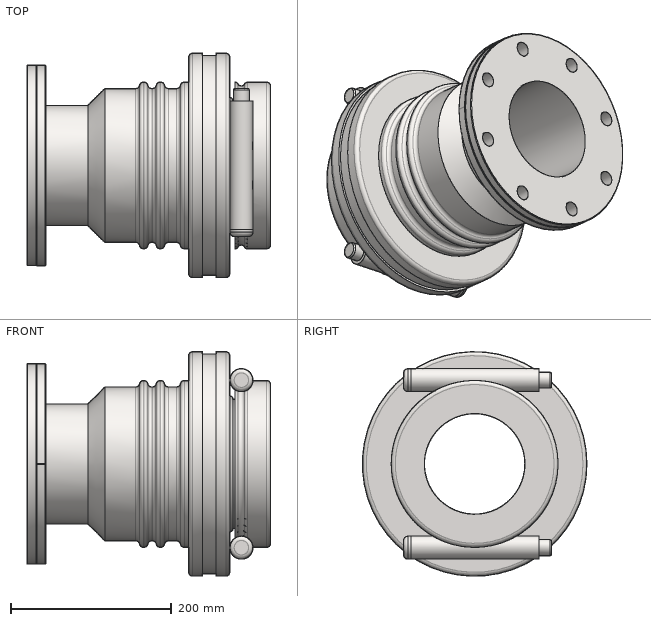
import cadquery as cq
import math


total_length = 304.0
bore_diameter = 125.0

flange_diameter = 250.0
flange_thickness = 24.0
flange_edge_chamfer = 1.0
rim_groove_width = 1.0
rim_groove_depth = 1.0
rim_slit_width = 1.0
bolt_count = 8
bolt_hole_diameter = 18.0
bolt_circle_diameter = 210.0

neck_diameter = 150.0
cone_start = 76.0
cone_end = 97.2
body_diameter = 192.0

rib_diameter = 208.0
rib_half_width = 9.8
rib_crest_width = 0.6
first_rib_start = 135.6
rib_gap = 0.6
end_rib_start = 186.5

coupling_diameter = 280.0
coupling_start = 201.7
coupling_width = 51.3
coupling_edge_radius = 5.0
coupling_groove_diameter = 274.4
coupling_groove_width = 17.0

waist_diameter = 161.6
shoulder_radius = 4.0

sleeve_start = 259.3
sleeve_diameter = 208.0
sleeve_edge_radius = 5.0
pin_groove_half_width = 8.0
pin_groove_depth = 4.7

pin_diameter = 28.6
pin_flange_gap = 0.2
pin_x = coupling_start + coupling_width + pin_diameter / 2 + pin_flange_gap
pin_z = 104.4
pin_head_end = -88.6
pin_shoulder = 80.5
pin_head_face_diameter = 18.0
pin_collar_diameter = 28.8
pin_collar_start = -83.0
pin_collar_end = -79.6
pin_tip_diameter = 20.16
pin_tip_face_diameter = 18.0
pin_tip_end = 96.0
pin_tip_chamfer_length = 2.1
pin_tip_chamfer_depth = (pin_tip_diameter - pin_tip_face_diameter) / 2

cutter_margin = 1.0

coupling_end = coupling_start + coupling_width
bore_radius = bore_diameter / 2
sleeve_radius = sleeve_diameter / 2
rib_radius = rib_diameter / 2
body_radius = body_diameter / 2


def s_curve(sketch, start, end):
    """Join two points by two equal tangent arcs that start and finish parallel to X."""
    run = end[0] - start[0]
    rise = end[1] - start[1]
    half_angle = math.atan2(abs(rise), run)
    arc_radius = run / 2 / math.sin(2 * half_angle)
    mid_run = arc_radius * math.sin(half_angle)
    mid_rise = math.copysign(arc_radius * (1 - math.cos(half_angle)), rise)
    centre = (start[0] + run / 2, start[1] + rise / 2)
    sketch = sketch.threePointArc((start[0] + mid_run, start[1] + mid_rise), centre)
    return sketch.threePointArc((end[0] - mid_run, end[1] - mid_rise), end)


def revolve_about_x(sketch):
    return sketch.close().revolve(360, (0, 0, 0), (1, 0, 0))


def x_cylinder(start, length, diameter):
    return cq.Workplane("YZ").workplane(offset=start).circle(diameter / 2).extrude(length)


def ring_cutter(centre_x, width, inner_diameter, outer_diameter):
    start = centre_x - width / 2
    return x_cylinder(start, width, outer_diameter).cut(x_cylinder(start, width, inner_diameter))


def bolted_flange():
    flange = x_cylinder(0, flange_thickness, flange_diameter).edges().chamfer(flange_edge_chamfer)
    groove_floor = flange_diameter - 2 * rim_groove_depth
    flange = flange.cut(
        ring_cutter(flange_thickness / 2, rim_groove_width, groove_floor, flange_diameter + cutter_margin)
    )
    slit = cq.Workplane("XY").box(
        flange_thickness / 2, 2 * rim_groove_depth, rim_slit_width, centered=(False, True, True)
    )
    flange = flange.cut(slit.translate((flange_thickness / 2, -flange_diameter / 2, 0)))
    holes = (
        cq.Workplane("YZ")
        .polarArray(bolt_circle_diameter / 2, 180 / bolt_count, 360, bolt_count)
        .circle(bolt_hole_diameter / 2)
        .extrude(flange_thickness)
    )
    return flange.cut(holes)


def ribbed_body():
    sketch = (
        cq.Workplane("XY")
        .moveTo(flange_thickness, bore_radius)
        .lineTo(flange_thickness, neck_diameter / 2)
        .lineTo(cone_start, neck_diameter / 2)
        .lineTo(cone_end, body_radius)
    )
    rib_pitch = 2 * rib_half_width + rib_crest_width + rib_gap
    for rib_start in (first_rib_start, first_rib_start + rib_pitch):
        crest_start = rib_start + rib_half_width
        crest_end = crest_start + rib_crest_width
        sketch = sketch.lineTo(rib_start, body_radius)
        sketch = s_curve(sketch, (rib_start, body_radius), (crest_start, rib_radius))
        sketch = sketch.lineTo(crest_end, rib_radius)
        sketch = s_curve(sketch, (crest_end, rib_radius), (crest_end + rib_half_width, body_radius))
    sketch = sketch.lineTo(end_rib_start, body_radius)
    sketch = s_curve(
        sketch, (end_rib_start, body_radius), (end_rib_start + rib_half_width, rib_radius)
    )
    sketch = sketch.lineTo(coupling_start, rib_radius).lineTo(coupling_start, bore_radius)
    return revolve_about_x(sketch)


def coupling_flange():
    flange = x_cylinder(coupling_start, coupling_width, coupling_diameter)
    flange = flange.edges().fillet(coupling_edge_radius)
    groove = ring_cutter(
        coupling_start + coupling_width / 2,
        coupling_groove_width,
        coupling_groove_diameter,
        coupling_diameter + cutter_margin,
    )
    return flange.cut(groove)


def waist():
    waist_radius = waist_diameter / 2
    arc_run = shoulder_radius * math.sin(math.pi / 4)
    sketch = (
        cq.Workplane("XY")
        .moveTo(coupling_end, bore_radius)
        .lineTo(coupling_end, waist_radius + shoulder_radius)
        .threePointArc(
            (coupling_end + arc_run, waist_radius + arc_run),
            (coupling_end + shoulder_radius, waist_radius),
        )
        .lineTo(sleeve_start, waist_radius)
        .lineTo(sleeve_start, bore_radius)
    )
    return revolve_about_x(sketch)


def sleeve():
    groove_end = sleeve_start + 2 * pin_groove_half_width
    groove_bottom = (sleeve_start + pin_groove_half_width, sleeve_radius - pin_groove_depth)
    sketch = (
        cq.Workplane("XY")
        .moveTo(sleeve_start, bore_radius)
        .lineTo(sleeve_start, sleeve_radius)
    )
    sketch = s_curve(sketch, (sleeve_start, sleeve_radius), groove_bottom)
    sketch = s_curve(sketch, groove_bottom, (groove_end, sleeve_radius))
    sketch = sketch.lineTo(total_length, sleeve_radius).lineTo(total_length, bore_radius)
    turned = revolve_about_x(sketch)
    outer_end_edge = cq.selectors.RadiusNthSelector(-1)
    return turned.faces(">X").edges(outer_end_edge).fillet(sleeve_edge_radius)


def pin_cylinder(start, end, diameter, side):
    workplane = cq.Workplane("XZ", origin=(pin_x, start, side * pin_z))
    return workplane.circle(diameter / 2).extrude(start - end)


def cross_pin(side):
    """One pin: a rounded, collared head on the -Y end and a thinner tip on the +Y end."""
    head_radius = (pin_diameter - pin_head_face_diameter) / 2
    body = pin_cylinder(pin_head_end, pin_shoulder, pin_diameter, side)
    body = body.faces("<Y").edges().fillet(head_radius)
    collar = pin_cylinder(pin_collar_start, pin_collar_end, pin_collar_diameter, side)
    tip = pin_cylinder(pin_shoulder, pin_tip_end, pin_tip_diameter, side)
    tip = tip.faces(">Y").edges().chamfer(pin_tip_chamfer_length, pin_tip_chamfer_depth)
    return body.union(collar).union(tip)


pinned_sleeve = sleeve().union(cross_pin(1)).union(cross_pin(-1))
result = (
    bolted_flange()
    .union(ribbed_body())
    .union(coupling_flange())
    .union(waist())
    .union(pinned_sleeve)
    .cut(x_cylinder(0, total_length, bore_diameter))
)